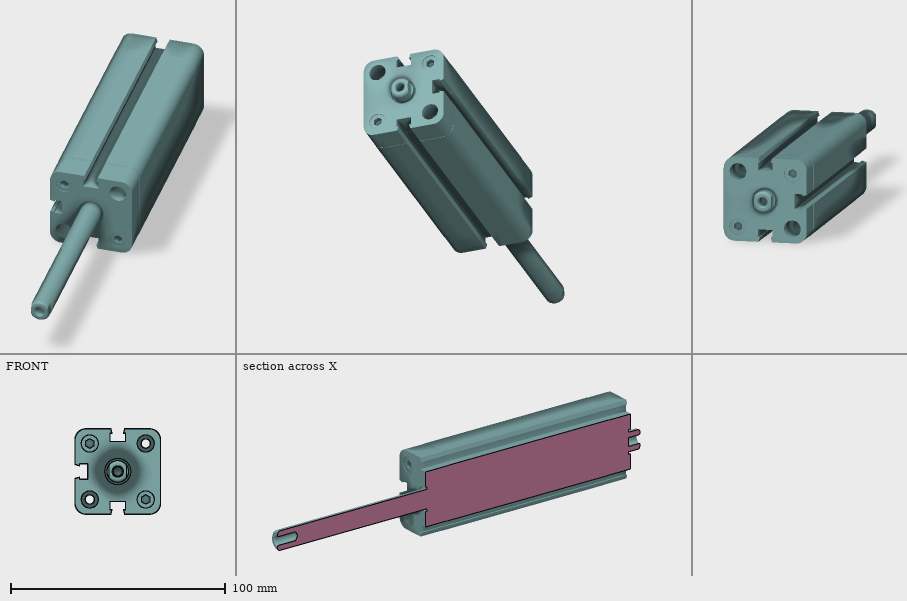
import cadquery as cq

TOTAL_LENGTH = 210.5
REAR_STICKOUT = 5.5
BODY_LENGTH = 119.4
REAR_TIP = TOTAL_LENGTH / 2
FRONT_TIP = -TOTAL_LENGTH / 2
BODY_REAR = REAR_TIP - REAR_STICKOUT
BODY_FRONT = BODY_REAR - BODY_LENGTH
BODY_MIDDLE = (BODY_FRONT + BODY_REAR) / 2

TUBE_SIDE = 40.0
TUBE_CORNER_RADIUS = 5.3
CAP_LENGTH = 12.8
CAP_STEP = 0.1
CAP_SIDE = TUBE_SIDE - 2 * CAP_STEP
CAP_CORNER_RADIUS = TUBE_CORNER_RADIUS - CAP_STEP
TUBE_LENGTH = BODY_LENGTH - 2 * CAP_LENGTH

SLOT_MOUTH_WIDTH = 6.5
SLOT_NECK_WIDTH = 5.3
SLOT_WIDTH = 7.2
SLOT_DEPTH = 5.9
SLOT_LIP = 2.0
SLOT_ANGLES = (0, -90, 180)

HOLE_OFFSET = 13.0
BORE_DIAMETER = 8.0
BORE_DEPTH = 10.5
THROUGH_DIAMETER = 4.2
HEAD_RECESS = 0.5
SOCKET_ACROSS_CORNERS = 4.5
SOCKET_DEPTH = 2.5

ROD_DIAMETER = 10.0
ROD_TIP_RADIUS = 1.5
CLEARANCE_DIAMETER = 12.2
CLEARANCE_DEPTH = 1.0

ACROSS_FLATS = 8.0
FLAT_LENGTH = 3.4
FLAT_RUNOUT = 1.0
FLAT_CUT_HEIGHT = ROD_DIAMETER
TAP_DIAMETER = 4.2
TAP_DEPTH = 10.5
TAP_POINT_LENGTH = 1.0
TAP_MOUTH_DIAMETER = 5.3
TAP_MOUTH_DEPTH = (TAP_MOUTH_DIAMETER - TAP_DIAMETER) / 2

ENDS = ((BODY_FRONT, FRONT_TIP, 1), (BODY_REAR, REAR_TIP, -1))
SIDES = (-1, 1)


def cylinder(diameter, y_start, y_end, x=0, z=0):
    """Solid cylinder along Y between two positions."""
    start = cq.Vector(x, y_start, z)
    direction = cq.Vector(0, y_end - y_start, 0)
    height = abs(y_end - y_start)
    return cq.Workplane(cq.Solid.makeCylinder(diameter / 2, height, start, direction))


def cone(diameter_start, diameter_end, y_start, y_end):
    """Solid cone on the rod axis between two positions."""
    start = cq.Vector(0, y_start, 0)
    direction = cq.Vector(0, y_end - y_start, 0)
    height = abs(y_end - y_start)
    return cq.Workplane(cq.Solid.makeCone(diameter_start / 2, diameter_end / 2, height, start, direction))


def slot(side, length):
    """Cutter for an undercut slot in the top of a square bar of the given side."""
    top = side / 2
    lip = top - SLOT_LIP
    floor = top - SLOT_DEPTH
    half_outline = [
        (SLOT_MOUTH_WIDTH / 2, top),
        (SLOT_NECK_WIDTH / 2, lip),
        (SLOT_WIDTH / 2, lip),
        (SLOT_WIDTH / 2, floor),
    ]
    mirrored = [(-x, z) for x, z in reversed(half_outline)]
    return cq.Workplane("XZ").polyline(half_outline + mirrored).close().extrude(length / 2, both=True)


def slotted_bar(side, length, corner_radius, y_centre):
    """Square bar along Y with rounded corners and a slot in three of its sides."""
    bar = cq.Workplane("XY").box(side, length, side).edges("|Y").fillet(corner_radius)
    for angle in SLOT_ANGLES:
        bar = bar.cut(slot(side, length).rotate((0, 0, 0), (0, 1, 0), angle))
    return bar.translate((0, y_centre, 0))


def through_hole(x, z):
    """Cutter for a mounting hole counterbored from both ends."""
    hole = cylinder(THROUGH_DIAMETER, BODY_FRONT, BODY_REAR, x, z)
    for face, _, inward in ENDS:
        hole = hole.union(cylinder(BORE_DIAMETER, face, face + inward * BORE_DEPTH, x, z))
    return hole


def screw_recess(x, z, face, inward):
    """Cutter for the space above a sunk screw head, with its hexagon socket."""
    head = face + inward * HEAD_RECESS
    socket = cq.Workplane("XZ").polygon(6, SOCKET_ACROSS_CORNERS).extrude(-inward * SOCKET_DEPTH)
    socket = socket.rotate((0, 0, 0), (0, 1, 0), 90).translate((x, head, z))
    return cylinder(BORE_DIAMETER, face, head, x, z).union(socket)


def tapped_hole(tip, inward):
    """Cutter for the countersunk blind hole in a rod end."""
    mouth_end = tip + inward * TAP_MOUTH_DEPTH
    bottom = tip + inward * TAP_DEPTH
    hole = cylinder(TAP_DIAMETER, tip, bottom)
    hole = hole.union(cone(TAP_MOUTH_DIAMETER, TAP_DIAMETER, tip, mouth_end))
    return hole.union(cone(TAP_DIAMETER, 0, bottom, bottom + inward * TAP_POINT_LENGTH))


def wrench_flat(side, tip, inward):
    """Cutter for one flat, ending in a concave quarter round."""
    inner = side * ACROSS_FLATS / 2
    runout_x = inner + side * FLAT_RUNOUT
    runout_y = tip + inward * FLAT_LENGTH
    end_y = runout_y + inward * FLAT_RUNOUT
    outer = side * ROD_DIAMETER
    profile = cq.Workplane("XY").moveTo(outer, tip).lineTo(inner, tip).lineTo(inner, runout_y)
    profile = profile.radiusArc((runout_x, end_y), side * inward * FLAT_RUNOUT)
    return profile.lineTo(outer, end_y).close().extrude(FLAT_CUT_HEIGHT / 2, both=True)


def piston_rod():
    rod = cylinder(ROD_DIAMETER, FRONT_TIP, REAR_TIP).faces("<Y or >Y").edges().fillet(ROD_TIP_RADIUS)
    for _, tip, inward in ENDS:
        rod = rod.cut(tapped_hole(tip, inward))
        for side in SIDES:
            rod = rod.cut(wrench_flat(side, tip, inward))
    return rod


def housing():
    body = slotted_bar(TUBE_SIDE, TUBE_LENGTH, TUBE_CORNER_RADIUS, BODY_MIDDLE)
    for face, _, inward in ENDS:
        cap_centre = face + inward * CAP_LENGTH / 2
        body = body.union(slotted_bar(CAP_SIDE, CAP_LENGTH, CAP_CORNER_RADIUS, cap_centre))
    for side in SIDES:
        offset = side * HOLE_OFFSET
        body = body.cut(through_hole(offset, offset))
        for face, _, inward in ENDS:
            body = body.cut(screw_recess(offset, -offset, face, inward))
    for face, _, inward in ENDS:
        body = body.cut(cylinder(CLEARANCE_DIAMETER, face, face + inward * CLEARANCE_DEPTH))
    return body


result = housing().union(piston_rod())